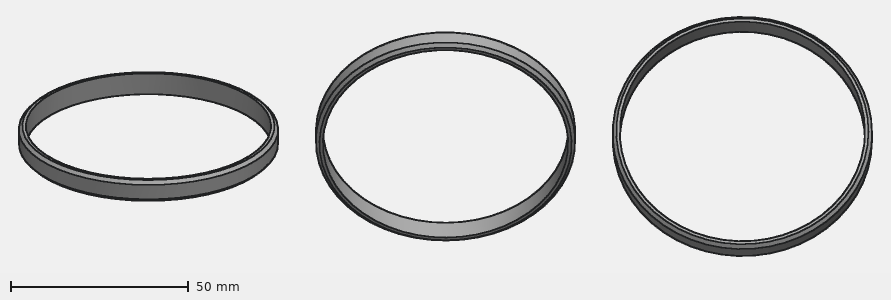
import cadquery as cq

outer_diameter = 73.0
inner_diameter = 69.0
height = 6.5
chamfer_size = 1.0

ring = (
    cq.Workplane("XY")
    .circle(outer_diameter / 2)
    .circle(inner_diameter / 2)
    .extrude(height)
)

outer_rims = cq.selectors.RadiusNthSelector(-1)
result = ring.edges("%CIRCLE").edges(outer_rims).chamfer(chamfer_size)